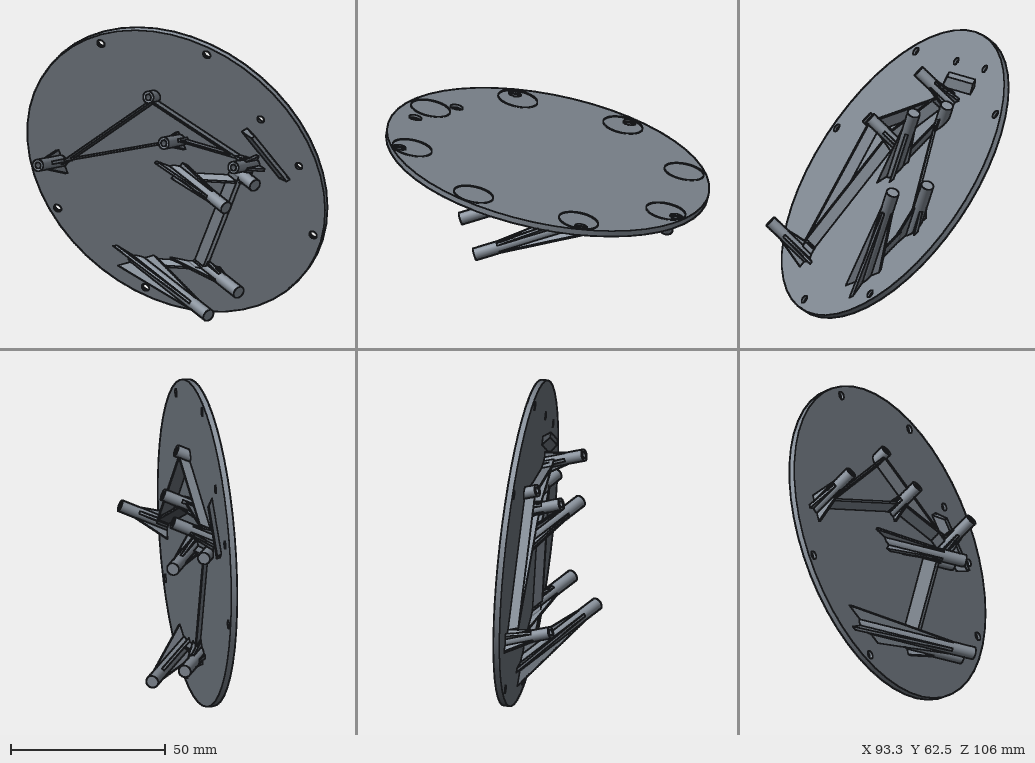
import cadquery as cq
import math

PLATE_DIAMETER = 106.0
PLATE_THICKNESS = 2.0
PLATE_YAW = 29.4
PLATE_MIDDLE_Y = 4.3

RING_PLACES = 8
RING_FIRST_ANGLE = 32.4
RECESS_RING_RADIUS = 45.8
RECESS_DIAMETER = 12.9
RECESS_DEPTH = 0.3
SCREW_RING_RADIUS = 49.9
PLACES_WITHOUT_SCREW = (0, 3, 6)
SCREW_DIAMETER = 2.6
EXTRA_SCREWS = [(30.1, 28.9), (43.7, 14.6)]
EXTRA_SCREW_DIAMETER = 2.4
SCREW_HEAD_DIAMETER = 4.0
SCREW_HEAD_DEPTH = 1.0

RIB_THICKNESS = 1.0
WALL_THICKNESS = 0.6
REACH = 63.6

BOARD_YAW = 23.7
BOARD_PITCH = 25.1
BOARD_DISTANCE = 14.2
BOARD_POST_DIAMETER = 3.8
BOARD_PILOT_DIAMETER = 2.0
BOARD_PILOT_DEPTH = 4.2
BOARD_RIB_DROP = 6.4
BOARD_RIB_SLOPE = 0.2
BOARD_WALL_HEIGHT = 3.4
BOARD_LEFT = (-38.7, -7.4)
BOARD_TOP = (-5.6, 25.7)
BOARD_MIDDLE = (3.4, 12.8)
BOARD_RIGHT = (29.6, 12.5)
BOARD_RIBS = [(BOARD_LEFT, 24.0), (BOARD_MIDDLE, 25.0), (BOARD_RIGHT, 70.0)]
BOARD_WALLS = [
    (BOARD_LEFT, BOARD_TOP, -1.3, -1.3),
    (BOARD_TOP, BOARD_RIGHT, -1.3, -0.6),
    (BOARD_RIGHT, BOARD_MIDDLE, -1.2, -0.5),
    (BOARD_MIDDLE, BOARD_LEFT, 0.0, 0.0),
]

SIDE_POST_DIAMETER = 4.0
SIDE_FRONT_TIP_X = 27.2
SIDE_REAR_TIP_X = 28.3
SIDE_FRONT_RIB_DROP = 8.1
SIDE_REAR_RIB_DROP = 10.1
SIDE_FRONT_RIB_SLOPE = 0.095
SIDE_REAR_RIB_SLOPE = 0.2
SIDE_WALL_HEIGHT = 2.3
LOWER_FRONT = (-2.9, -39.0)
UPPER_FRONT = (4.1, 0.3)
LOWER_REAR = (8.4, -33.9)
UPPER_REAR = (14.8, 5.4)
LOWER_FRONT_RIB_TURN = 51.0
UPPER_FRONT_RIB_TURN = -15.0
LOWER_REAR_RIB_TURN = 8.0
SIDE_WALLS = [
    (LOWER_FRONT, LOWER_REAR, 1.0, 1.0),
    (LOWER_REAR, UPPER_REAR, 1.5, 1.7),
    (UPPER_REAR, UPPER_FRONT, 0.6, 0.6),
]

BLOCK_BASE = (19.7, 2.8)
BLOCK_TOP = (18.2, 1.7)
BLOCK_HEIGHT = 1.9
BLOCK_BASE_CENTRE = (31.1, 16.0)
BLOCK_TOP_SHIFT = 3.5
BLOCK_TURN = -47.0


def facing_plane(yaw, pitch, origin):
    """Plane that faces -Y, turned about Z by the yaw and raised by the pitch; its x axis is level."""
    turn = math.radians(yaw)
    rise = math.radians(pitch)
    normal = (math.sin(turn) * math.cos(rise), -math.cos(turn) * math.cos(rise), math.sin(rise))
    return cq.Plane(origin, (math.cos(turn), math.sin(turn), 0), normal)


def raised(plane, height):
    """The same plane moved along its normal."""
    return cq.Plane(plane.origin + plane.zDir * height, plane.xDir, plane.zDir)


def side_plane(x):
    """Plane that faces +X and whose own axes are Y and Z."""
    return cq.Plane((x, 0, 0), (0, 1, 0), (1, 0, 0))


plate_middle = facing_plane(PLATE_YAW, 0, (0, PLATE_MIDDLE_Y, 0))
plate_front = raised(plate_middle, PLATE_THICKNESS / 2)
plate_back = raised(plate_middle, -PLATE_THICKNESS / 2)
board_plane = raised(facing_plane(BOARD_YAW, BOARD_PITCH, (0, 0, 0)), BOARD_DISTANCE)
front_tips = side_plane(SIDE_FRONT_TIP_X)
rear_tips = side_plane(SIDE_REAR_TIP_X)


def above_plate(solid, height=REACH):
    """Keep what lies between the plate's middle and a height above its front face."""
    keep = cq.Workplane(plate_middle).circle(PLATE_DIAMETER / 2).extrude(PLATE_THICKNESS / 2 + height)
    return solid.intersect(keep)


def post(plane, place, diameter):
    return above_plate(cq.Workplane(plane).center(*place).circle(diameter / 2).extrude(-REACH))


def ribs(plane, place, start_reach, drop, slope, turn):
    """Two crossed plates around a post that widen from the drop below its tip."""
    end_reach = start_reach + slope * (REACH - drop)
    profile = [(-start_reach, -drop), (start_reach, -drop), (end_reach, -REACH), (-end_reach, -REACH)]
    axis = cq.Workplane(plane).center(*place)
    pair = [
        axis.transformed(rotate=(0, 0, angle)).transformed(rotate=(90, 0, 0))
        .polyline(profile).close().extrude(RIB_THICKNESS / 2, both=True)
        for angle in (turn, turn + 90)
    ]
    return above_plate(pair[0].union(pair[1]))


def wall(plane, start, end, start_shift, end_shift, height):
    """Thin wall between two places, each moved to the left of the start-to-end direction."""
    along = cq.Vector(end[0] - start[0], end[1] - start[1], 0).normalized()
    left = cq.Vector(-along.y, along.x, 0)
    first = cq.Vector(*start) + left * start_shift
    last = cq.Vector(*end) + left * end_shift
    middle = (first + last) * 0.5
    span = last - first
    slab = (
        cq.Workplane(plane).center(middle.x, middle.y)
        .transformed(rotate=(0, 0, math.degrees(math.atan2(span.y, span.x))))
        .rect(span.Length, WALL_THICKNESS).extrude(-REACH)
    )
    return above_plate(slab, height)


result = cq.Workplane(plate_back).circle(PLATE_DIAMETER / 2).extrude(PLATE_THICKNESS)

board_places = [BOARD_LEFT, BOARD_TOP, BOARD_MIDDLE, BOARD_RIGHT]
for place in board_places:
    result = result.union(post(board_plane, place, BOARD_POST_DIAMETER))
for place, turn in BOARD_RIBS:
    cross = ribs(board_plane, place, BOARD_POST_DIAMETER / 2, BOARD_RIB_DROP, BOARD_RIB_SLOPE, turn)
    result = result.union(cross)
for ends_and_shifts in BOARD_WALLS:
    result = result.union(wall(board_plane, *ends_and_shifts, BOARD_WALL_HEIGHT))
pilots = cq.Workplane(board_plane).pushPoints(board_places).circle(BOARD_PILOT_DIAMETER / 2)
result = result.cut(pilots.extrude(-BOARD_PILOT_DEPTH))

front_rib = (SIDE_POST_DIAMETER / 2, SIDE_FRONT_RIB_DROP, SIDE_FRONT_RIB_SLOPE)
rear_rib = (SIDE_POST_DIAMETER / 2, SIDE_REAR_RIB_DROP, SIDE_REAR_RIB_SLOPE)
result = result.union(ribs(front_tips, LOWER_FRONT, *front_rib, LOWER_FRONT_RIB_TURN))
result = result.union(ribs(front_tips, UPPER_FRONT, *front_rib, UPPER_FRONT_RIB_TURN))
result = result.union(ribs(rear_tips, LOWER_REAR, *rear_rib, LOWER_REAR_RIB_TURN))
for tips, places in ((front_tips, (LOWER_FRONT, UPPER_FRONT)), (rear_tips, (LOWER_REAR, UPPER_REAR))):
    for place in places:
        result = result.union(post(tips, place, SIDE_POST_DIAMETER))
for ends_and_shifts in SIDE_WALLS:
    result = result.union(wall(rear_tips, *ends_and_shifts, SIDE_WALL_HEIGHT))

block_base = cq.Workplane(plate_front).center(*BLOCK_BASE_CENTRE).transformed(rotate=(0, 0, BLOCK_TURN))
block = (
    block_base.rect(*BLOCK_BASE)
    .transformed(rotate=(0, 0, -BLOCK_TURN), offset=(0, 0, BLOCK_HEIGHT))
    .center(BLOCK_TOP_SHIFT, 0)
    .transformed(rotate=(0, 0, BLOCK_TURN))
    .rect(*BLOCK_TOP).loft()
)
result = result.union(block)


def ring_point(radius, index):
    angle = math.radians(RING_FIRST_ANGLE + index * 360 / RING_PLACES)
    return (radius * math.cos(angle), radius * math.sin(angle))


def drill_back(part, points, diameter, depth):
    return part.cut(cq.Workplane(plate_back).pushPoints(points).circle(diameter / 2).extrude(depth))


recesses = [ring_point(RECESS_RING_RADIUS, i) for i in range(RING_PLACES)]
ring_screws = [ring_point(SCREW_RING_RADIUS, i) for i in range(RING_PLACES) if i not in PLACES_WITHOUT_SCREW]
result = drill_back(result, recesses, RECESS_DIAMETER, RECESS_DEPTH)
result = drill_back(result, ring_screws, SCREW_DIAMETER, PLATE_THICKNESS)
result = drill_back(result, EXTRA_SCREWS, EXTRA_SCREW_DIAMETER, PLATE_THICKNESS)
result = drill_back(result, ring_screws + EXTRA_SCREWS, SCREW_HEAD_DIAMETER, SCREW_HEAD_DEPTH)
result = cq.Workplane(result.solids().val())